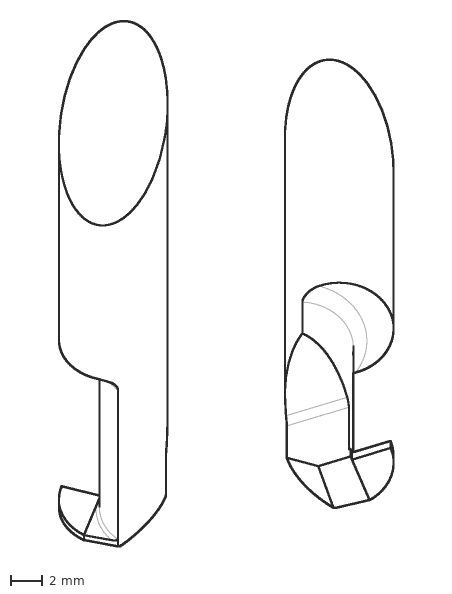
import cadquery as cq
import math

radius = 3.5
total_length = 43.3
slant_angle = 30

neck_shift = 2.75
neck_top = 16.25
shoulder_fillet = 0.85
foot_fillet = 0.2

flat_y = 0.25
flat_top = 6.45
flat_fillet = 1.75

foot_height = 0.85
relief_angle = 3
corner_chamfer = 2.15
tip_joint_x = -0.85
rake_y = 0

margin = 4.35
reach = radius + margin

relief_slope = math.tan(math.radians(relief_angle))
slant_slope = 1 / math.tan(math.radians(slant_angle))
neck_edge_x = neck_shift / 2
neck_edge_y = math.sqrt(radius**2 - neck_edge_x**2)
joint_y = math.sqrt(radius**2 - tip_joint_x**2)


def prism_along_x(points, x_start, x_end):
    """Extrude a (Y, Z) outline from x_start to x_end."""
    return cq.Workplane("YZ", origin=(x_start, 0, 0)).polyline(points).close().extrude(x_end - x_start)


def make_relieved_slab():
    """Foot-height wedge in YZ whose lower and upper faces converge toward -Y."""
    drop = (reach + rake_y) * relief_slope
    points = [
        (rake_y, 0),
        (rake_y, foot_height),
        (-reach, foot_height - drop),
        (-reach, drop),
    ]
    return prism_along_x(points, -reach, tip_joint_x)


def make_blank():
    """Cylinder with the slanted upper end, highest at +Y."""
    blank = cq.Workplane("XY").circle(radius).extrude(total_length)
    slant = prism_along_x(
        [
            (radius, total_length),
            (-radius - margin, total_length - (2 * radius + margin) * slant_slope),
            (-radius - margin, total_length + margin),
            (radius, total_length + margin),
        ],
        -reach,
        reach,
    )
    return blank.cut(slant)


def make_neck_cutter():
    """Space beside the neck, with rounded shoulder and foot transitions."""
    rise = foot_height - flat_y * relief_slope
    space = prism_along_x(
        [
            (-reach, rise - reach * relief_slope),
            (reach, rise + reach * relief_slope),
            (reach, neck_top),
            (-reach, neck_top),
        ],
        -reach,
        neck_shift,
    )
    neck = cq.Workplane("XY").center(neck_shift, 0).circle(radius).extrude(total_length)
    cutter = space.cut(neck)
    shoulder_edge = cq.selectors.NearestToPointSelector((neck_shift - radius, 0, neck_top))
    foot_edge = cq.selectors.NearestToPointSelector((neck_shift - radius, 0, foot_height))
    cutter = cutter.edges("%CIRCLE").edges(shoulder_edge).fillet(shoulder_fillet)
    return cutter.edges("%ELLIPSE").edges(foot_edge).fillet(foot_fillet)


def make_flat_cutter():
    """Material removed behind the flat, blended into its slanted run-out."""
    run_out_top = flat_top + (reach - flat_y) * slant_slope
    cutter = prism_along_x(
        [(flat_y, -margin), (flat_y, flat_top), (reach, run_out_top), (reach, -margin)],
        -reach,
        reach,
    )
    run_out_edge = cq.selectors.NearestToPointSelector((0, flat_y, flat_top))
    return cutter.edges(run_out_edge).fillet(flat_fillet)


def make_relief_cutter():
    """Wedge below the foot that leaves its underside rising toward -Y."""
    return prism_along_x(
        [(flat_y, 0), (-reach, (reach + flat_y) * relief_slope), (-reach, 0)],
        -reach,
        reach,
    )


def make_corner_cutter():
    """45-degree chamfer across the lower +X corner."""
    return (
        cq.Workplane("XZ", origin=(0, reach, 0))
        .polyline([(radius - corner_chamfer, 0), (radius, corner_chamfer), (radius, 0)])
        .close()
        .extrude(2 * reach)
    )


def make_foot_side_cutter():
    """Trims the -Y side of the foot to a plane from the tip joint to the neck edge."""
    return (
        cq.Workplane("XY")
        .polyline(
            [
                (tip_joint_x, -joint_y),
                (neck_edge_x, -neck_edge_y),
                (neck_edge_x, -reach),
                (tip_joint_x, -reach),
            ]
        )
        .close()
        .extrude(foot_height)
    )


def make_tip_space():
    """Everything on the tip side of the joint, up to the shoulder."""
    space = cq.Workplane("XY").box(
        reach + tip_joint_x, 2 * reach, neck_top / 2, centered=(False, True, False)
    )
    return space.translate((-reach, 0, 0))


def make_shank():
    shank = make_blank()
    for cutter in (
        make_neck_cutter(),
        make_flat_cutter(),
        make_relief_cutter(),
        make_corner_cutter(),
        make_foot_side_cutter(),
        make_tip_space(),
    ):
        shank = shank.cut(cutter)
    return shank


def make_cutting_tip():
    """Arc-edged plate seated on the joint plane, with its cutting corner at -X."""
    joint_angle = math.atan2(joint_y, -tip_joint_x)
    arc_angle = math.pi + joint_angle / 2
    middle = (radius * math.cos(arc_angle), radius * math.sin(arc_angle))
    outline = (
        cq.Workplane("XY")
        .moveTo(tip_joint_x, rake_y)
        .lineTo(-radius, rake_y)
        .threePointArc(middle, (tip_joint_x, -joint_y))
        .close()
        .extrude(foot_height)
    )
    return outline.intersect(make_relieved_slab())


shank = make_shank()
cutting_tip = make_cutting_tip()

result = cq.Compound.makeCompound([shank.val(), cutting_tip.val()])